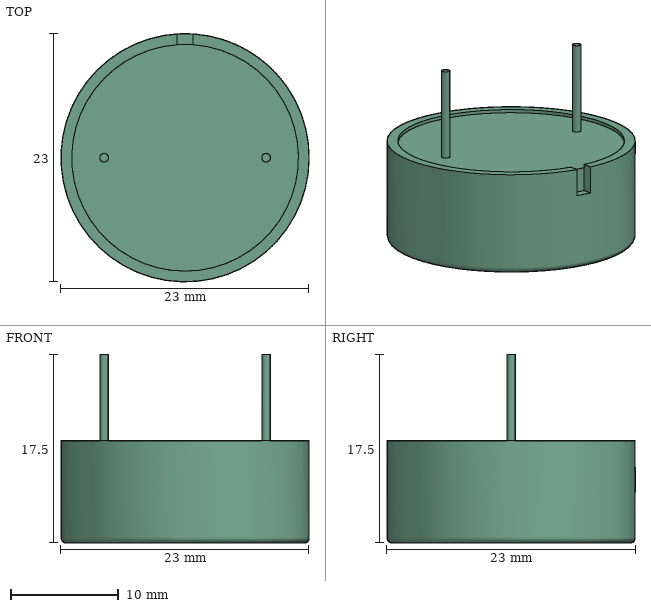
import cadquery as cq

body_diameter = 23.0
total_height = 17.5
pin_length_above_rim = 8.0
body_height = total_height - pin_length_above_rim
bottom_edge_radius = 0.5

rim_width = 1.0
recess_depth = 0.3
recess_diameter = body_diameter - 2 * rim_width
recess_floor = body_height - recess_depth

notch_width = 1.5
notch_depth = 2.5

pin_diameter = 0.8
pin_spacing = 15.0
pin_embed = 1.0


def make_body():
    """Round housing with a rounded bottom edge and a shallow recess in its top."""
    housing = cq.Workplane("XY").circle(body_diameter / 2).extrude(body_height)
    housing = housing.faces("<Z").edges().fillet(bottom_edge_radius)
    recess = (
        cq.Workplane("XY")
        .workplane(offset=recess_floor)
        .circle(recess_diameter / 2)
        .extrude(recess_depth)
    )
    return housing.cut(recess)


def make_notch():
    """Cutter for the gap through the rim on the +Y side."""
    block = (
        cq.Workplane("XY")
        .workplane(offset=body_height - notch_depth)
        .center(0, body_diameter / 4)
        .rect(notch_width, body_diameter / 2)
        .extrude(notch_depth)
    )
    inside_rim = cq.Workplane("XY").circle(recess_diameter / 2).extrude(body_height)
    return block.cut(inside_rim)


def make_pins():
    """Two terminal pins on the X axis, standing on the recess floor."""
    return (
        cq.Workplane("XY")
        .workplane(offset=recess_floor - pin_embed)
        .pushPoints([(-pin_spacing / 2, 0), (pin_spacing / 2, 0)])
        .circle(pin_diameter / 2)
        .extrude(total_height - recess_floor + pin_embed)
    )


result = make_body().cut(make_notch()).union(make_pins())